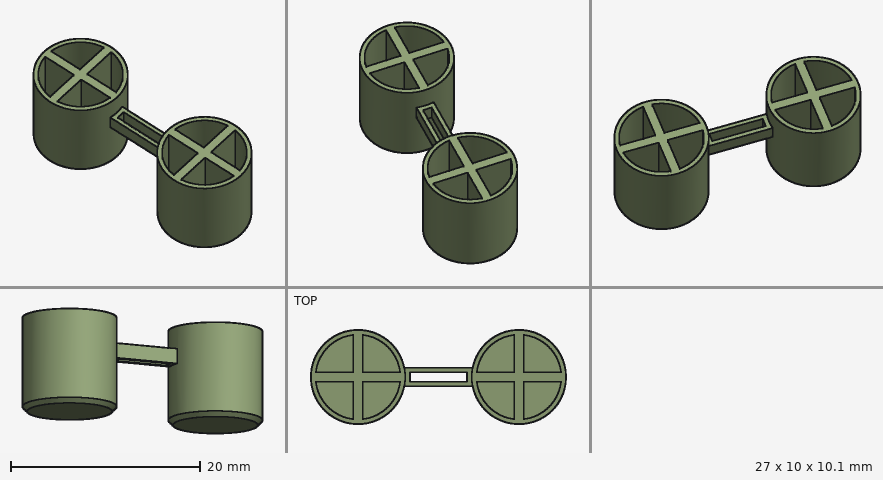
import cadquery as cq

total_length = 27.0
cup_diameter = 10.0
cup_height = 10.1
wall_thickness = 0.5
rib_thickness = 1.0

link_bottom = 6.05
link_height = 1.6
link_width = 1.97
slot_length = 6.0

cup_radius = cup_diameter / 2
cup_spacing = total_length - cup_diameter
cup_centres = (-cup_spacing / 2, cup_spacing / 2)
pocket_radius = cup_radius - wall_thickness
floor_thickness = wall_thickness
rim_chamfer = wall_thickness
pocket_depth = cup_height - floor_thickness
slot_width = link_width / 2


def make_solid_cup(centre_x):
    """Upright cylinder with its lower rim chamfered."""
    body = cq.Workplane("XY").circle(cup_radius).extrude(cup_height)
    body = body.faces("<Z").edges().chamfer(rim_chamfer)
    return body.translate((centre_x, 0, 0))


def make_cup_pockets(centre_x):
    """Four quadrant pockets: a round cavity minus a cross of ribs."""
    base = cq.Workplane("XY").workplane(offset=floor_thickness)
    cavity = base.circle(pocket_radius).extrude(pocket_depth)
    rib_along_x = base.rect(cup_diameter, rib_thickness).extrude(pocket_depth)
    rib_along_y = base.rect(rib_thickness, cup_diameter).extrude(pocket_depth)
    return cavity.cut(rib_along_x).cut(rib_along_y).translate((centre_x, 0, 0))


def make_link():
    """Bar from cup axis to cup axis, with a slot through its height."""
    base = cq.Workplane("XY").workplane(offset=link_bottom)
    bar = base.rect(cup_spacing, link_width).extrude(link_height)
    slot = base.rect(slot_length, slot_width).extrude(link_height)
    return bar.cut(slot)


result = make_link()
for centre_x in cup_centres:
    result = result.union(make_solid_cup(centre_x))

for centre_x in cup_centres:
    result = result.cut(make_cup_pockets(centre_x))